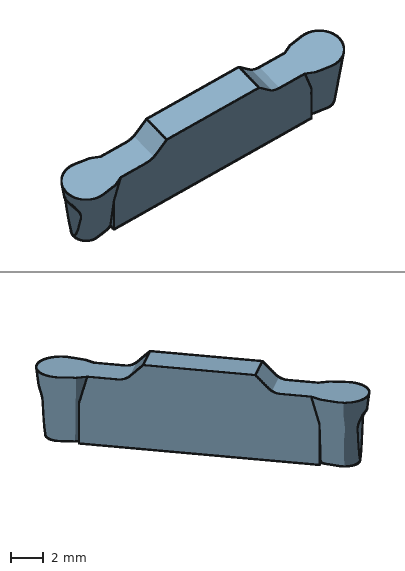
import cadquery as cq
import math

length = 20.6
height = 5.65
land_height = 4.53

blade_width = 2.05
blade_half_length = 7.45
crest_half_length = 3.48
crest_slope = 45.0
crest_fillet = 1.1

nose_radius = 1.5
nose_center = length / 2 - nose_radius
side_taper = 9.0
side_end = 7.55
flare_end = 6.94
root_half_width = 0.82
root_start = 5.77
clearance_angle = 7.0

relief_face = 9.75
relief_flat_height = 2.47
relief_top_height = 3.55
relief_top = 10.2
relief_clear = length / 2 + 1.03


def make_blade():
    """Flat blade with a raised crest blended into the lands."""
    slope_foot = crest_half_length + (height - land_height) / math.tan(math.radians(crest_slope))
    blade = (
        cq.Workplane("YZ")
        .moveTo(-blade_half_length, 0)
        .lineTo(blade_half_length, 0)
        .lineTo(blade_half_length, land_height)
        .lineTo(slope_foot, land_height)
        .lineTo(crest_half_length, height)
        .lineTo(-crest_half_length, height)
        .lineTo(-slope_foot, land_height)
        .lineTo(-blade_half_length, land_height)
        .close()
        .extrude(blade_width / 2, both=True)
    )
    for side in (-1, 1):
        foot = cq.selectors.NearestToPointSelector((0, side * slope_foot, land_height))
        blade = blade.edges("|X").edges(foot).fillet(crest_fillet)
    return blade


def make_head():
    """Round-nosed cutting head at the +Y end, with clearance all around."""
    taper = math.radians(side_taper)
    tangent_x = nose_radius * math.cos(taper)
    tangent_y = nose_center - nose_radius * math.sin(taper)
    side_x = tangent_x - (tangent_y - side_end) * math.tan(taper)
    flare_slope = (side_end - flare_end) / (side_x - blade_width / 2)
    root_end = side_end - (side_x - root_half_width) * flare_slope
    return (
        cq.Workplane("XY", origin=(0, 0, land_height))
        .moveTo(root_half_width, root_start)
        .lineTo(root_half_width, root_end)
        .lineTo(side_x, side_end)
        .lineTo(tangent_x, tangent_y)
        .threePointArc((0, length / 2), (-tangent_x, tangent_y))
        .lineTo(-side_x, side_end)
        .lineTo(-root_half_width, root_end)
        .lineTo(-root_half_width, root_start)
        .close()
        .extrude(-land_height, taper=clearance_angle)
    )


def make_relief():
    """Cutter for the flat front face and the hollow blending it into the nose."""
    return (
        cq.Workplane("YZ")
        .moveTo(relief_face, 0)
        .lineTo(relief_face, relief_flat_height)
        .tangentArcPoint((relief_top, relief_top_height), relative=False)
        .lineTo(relief_clear, relief_top_height)
        .lineTo(relief_clear, 0)
        .close()
        .extrude(nose_radius, both=True)
    )


head = make_head().cut(make_relief())
opposite_head = head.mirror("XZ")
blade = make_blade()
result = blade.union(head).union(opposite_head)